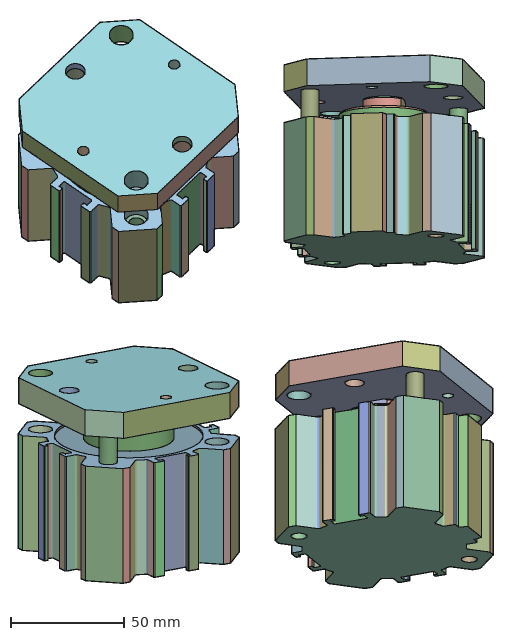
import cadquery as cq

side = 80.0
housing_height = 53.0
gap = 13.95
plate_thickness = 12.0
half_side = side / 2
plate_bottom = housing_height + gap

housing_corner = 12.0
tube_radius = 36.3
face_land_inner = 24.3
post_root_fillet = 1.2
rib_root_fillet = 0.8
rib_half_span = 11.7
rib_edge_chamfer = 0.5
slot_mouth = 12.3
slot_mouth_chamfer = 0.25
slot_width = 16.1
slot_floor = 34.5
slot_floor_fillet = 0.5
slot_lip = 2.0

boss_height = 4.0
boss_base = 16.1
boss_tip = 14.2
boss_taper = (boss_base - boss_tip) / 2 / boss_height

recess_diameter = 65.5
recess_depth = 1.0
collar_diameter = 40.0
collar_height = 8.0
collar_chamfer = 1.0

corner_offset = 28.2
guide_rod_diameter = 8.0
bolt_clearance = 7.0
bolt_head = 10.5
bolt_head_depth = 6.5

rod_diameter = 20.0
rod_flats = 17.05
rod_shoulder = 1.5
rod_chamfer = 0.7

plate_corner = 12.4
tapped_offset = 30.8
tapped_mouth = 8.6
tapped_core = 8.5
tapped_mouth_depth = 3.7
dowel_offset = 31.0
dowel_diameter = 4.95

bolt_points = [(-corner_offset, corner_offset), (corner_offset, -corner_offset)]
guide_points = [(-corner_offset, -corner_offset), (corner_offset, corner_offset)]
quarter_turns = [0, 90, 180, 270]


def cylinder(diameter, bottom, height):
    return cq.Workplane("XY").workplane(offset=bottom).circle(diameter / 2).extrude(height)


def chamfered_square(corner, bottom, height):
    square = cq.Workplane("XY").workplane(offset=bottom).rect(side, side).extrude(height)
    return square.edges("|Z").chamfer(corner)


def relief_cutter():
    """Space between a rib and a corner post, outside the round wall, on the +X half of the -Y face."""
    land_to_rib = face_land_inner - rib_half_span
    wedge = (
        cq.Workplane("XY")
        .moveTo(rib_half_span, -half_side)
        .lineTo(face_land_inner, -half_side)
        .lineTo(rib_half_span, -half_side + land_to_rib)
        .close()
        .extrude(housing_height)
    )
    cutter = wedge.cut(cylinder(2 * tube_radius, 0, housing_height))
    cutter = cutter.edges("|Z and >Y").fillet(post_root_fillet)
    rib_root = cutter.edges("|Z").edges("<X").edges(">Y")
    return rib_root.fillet(rib_root_fillet)


def slot_cutter():
    """T-slot of the -Y face."""
    cavity_outer = half_side - slot_lip
    cavity = (
        cq.Workplane("XY")
        .center(0, -(slot_floor + cavity_outer) / 2)
        .rect(slot_width, cavity_outer - slot_floor)
        .extrude(housing_height)
        .edges("|Z and >Y")
        .fillet(slot_floor_fillet)
    )
    mouth = (
        cq.Workplane("XY")
        .center(0, -(slot_floor + half_side) / 2)
        .rect(slot_mouth, half_side - slot_floor)
        .extrude(housing_height)
    )
    return cavity.union(mouth)


def edge_chamfer_cutter(edge_x, size):
    """Prism that chamfers the vertical edge at edge_x on the -Y face, toward +X or -X by the sign of size."""
    return (
        cq.Workplane("XY")
        .moveTo(edge_x, -half_side)
        .lineTo(edge_x + size, -half_side)
        .lineTo(edge_x, -half_side + abs(size))
        .close()
        .extrude(housing_height)
    )


def face_cutter():
    """Everything removed from the -Y face: slot, reliefs and the chamfers along the ribs."""
    half_face = (
        relief_cutter()
        .union(edge_chamfer_cutter(rib_half_span, -rib_edge_chamfer))
        .union(edge_chamfer_cutter(slot_mouth / 2, slot_mouth_chamfer))
    )
    return half_face.union(half_face.mirror("YZ")).union(slot_cutter())


def port_boss():
    """Tapered boss on the +Y face, rooted on the slot floor."""
    tip_y = half_side + boss_height
    root_half = boss_tip / 2 + boss_taper * (tip_y - slot_floor)
    return (
        cq.Workplane("XY")
        .moveTo(-root_half, slot_floor)
        .lineTo(root_half, slot_floor)
        .lineTo(boss_tip / 2, tip_y)
        .lineTo(-boss_tip / 2, tip_y)
        .close()
        .extrude(housing_height)
    )


def make_housing():
    body = chamfered_square(housing_corner, 0, housing_height)
    cutter = face_cutter()
    for angle in quarter_turns:
        body = body.cut(cutter.rotate((0, 0, 0), (0, 0, 1), angle))
    body = body.union(port_boss())

    recess_floor = housing_height - recess_depth
    body = body.cut(cylinder(recess_diameter, recess_floor, recess_depth))
    collar = cylinder(collar_diameter, recess_floor, recess_depth + collar_height)
    body = body.union(collar.faces(">Z").chamfer(collar_chamfer))

    top = cq.Workplane("XY").workplane(offset=housing_height).pushPoints(bolt_points)
    body = body.cut(top.circle(bolt_clearance / 2).extrude(-housing_height))
    return body.cut(top.circle(bolt_head / 2).extrude(-bolt_head_depth))


def make_piston_rod():
    """Rod from the collar up to the plate, with two wrench flats facing +X and -X."""
    bottom = housing_height + collar_height
    rod = cylinder(rod_diameter, bottom, plate_bottom - bottom).faces(">Z").chamfer(rod_chamfer)
    flats_bottom = bottom + rod_shoulder
    flats_height = plate_bottom - flats_bottom
    flat_section = (
        cq.Workplane("XY").workplane(offset=flats_bottom).rect(rod_flats, side).extrude(flats_height)
    )
    shoulder = cylinder(rod_diameter, bottom, rod_shoulder)
    return rod.intersect(flat_section.union(shoulder))


def make_plate_assembly():
    """Plate with its two guide rods and the piston rod, moving as one body."""
    plate = chamfered_square(plate_corner, plate_bottom, plate_thickness)
    top = cq.Workplane("XY").workplane(offset=plate_bottom + plate_thickness)
    plate = plate.cut(top.pushPoints(bolt_points).circle(bolt_head / 2).extrude(-plate_thickness))
    dowels = [(0, -dowel_offset), (0, dowel_offset)]
    plate = plate.cut(top.pushPoints(dowels).circle(dowel_diameter / 2).extrude(-plate_thickness))
    tapped = top.pushPoints([(-tapped_offset, 0), (tapped_offset, 0)])
    plate = plate.cut(tapped.circle(tapped_core / 2).extrude(-plate_thickness))
    plate = plate.cut(tapped.circle(tapped_mouth / 2).extrude(-tapped_mouth_depth))

    guide_base = cq.Workplane("XY").workplane(offset=housing_height)
    guides = guide_base.pushPoints(guide_points).circle(guide_rod_diameter / 2).extrude(gap)
    return plate.union(guides).union(make_piston_rod())


housing = make_housing()
plate_assembly = make_plate_assembly()
result = cq.Compound.makeCompound([*housing.solids().vals(), *plate_assembly.solids().vals()])